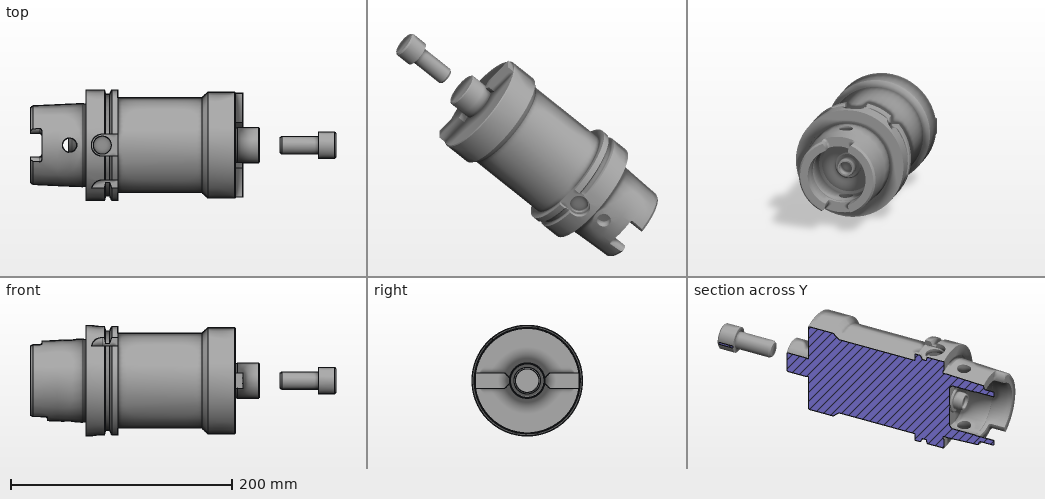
import cadquery as cq
taper_length = 47.2
taper_mouth_diameter = 71.2
taper_gauge_diameter = 75.3
mouth_chamfer = 2.2
mouth_chamfer_diameter = 68.0

neck_diameter = 74.8
neck_step_length = 1.0
relief_diameter = 79.8
relief_depth = 0.5

flange_start = 50.0
flange_diameter = 100.0
flange_end = 79.0
groove_floor_diameter = 92.2
groove_edge_start = 66.8
groove_floor_start = 68.0
groove_floor_end = 71.5
groove_edge_end = 73.5

body_diameter = 85.8
body_end = 154.8
collar_diameter = 96.0
collar_start = 160.4
collar_end = 185.2
collar_chamfer = 0.8
pilot_diameter = 32.0
pilot_neck_diameter = 31.5
pilot_neck_length = 1.7
pilot_end = 206.7
pilot_chamfer = 0.8

mouth_bore_diameter = 53.8
mouth_bore_depth = 19.0
cavity_diameter = 53.0
cavity_depth = 44.2
cavity_floor_chamfer = 2.2
tube_diameter = 16.0
tube_tip = 34.2
tube_tip_diameter = 14.5
tube_tip_length = 3.3
tube_bore_diameter = 12.0
tube_nut_diameter = 24.0
tube_nut_height = 1.7
tube_nut_chamfer = 1.0

cross_hole_x = 35.3
cross_hole_diameter = 12.7

slot_width = 21.0
slot_depth_top = 10.2
slot_depth_bottom = 15.2
slot_floor_fillet = 2.0
slot_flare_radius = 8.0
slot_flare_start = 25.5

keyway_width = 20.0
keyway_floor = 44.0
keyway_end_center = 64.9
keyway_hole_diameter = 16.3
keyway_hole_depth = 4.0
notch_corner = 31.5

key_width = 14.0
key_end = 191.8
key_inner = 20.5
key_outer = 47.0

screw_tip = 225.2
screw_shank_diameter = 16.0
screw_tip_diameter = 13.2
screw_tip_chamfer = 2.0
head_start = 260.0
head_diameter = 24.0
screw_end = 276.0
head_chamfer = 1.5


def revolve_about_x(points):
    """Turn a closed (x, radius) outline about the X axis."""
    return cq.Workplane("XY").polyline(points).close().revolve(360, (0, 0, 0), (1, 0, 0))


def x_cylinder(diameter, start, end):
    return cq.Workplane("YZ", origin=(start, 0, 0)).circle(diameter / 2).extrude(end - start)


def holder_blank():
    return revolve_about_x([
        (0, 0),
        (0, mouth_chamfer_diameter / 2),
        (mouth_chamfer, taper_mouth_diameter / 2),
        (taper_length, taper_gauge_diameter / 2),
        (taper_length + neck_step_length, neck_diameter / 2),
        (flange_start + relief_depth, neck_diameter / 2),
        (flange_start + relief_depth, relief_diameter / 2),
        (flange_start, relief_diameter / 2),
        (flange_start, flange_diameter / 2),
        (groove_edge_start, flange_diameter / 2),
        (groove_floor_start, groove_floor_diameter / 2),
        (groove_floor_end, groove_floor_diameter / 2),
        (groove_edge_end, flange_diameter / 2),
        (flange_end, flange_diameter / 2),
        (flange_end, body_diameter / 2),
        (body_end, body_diameter / 2),
        (collar_start, collar_diameter / 2),
        (collar_end - collar_chamfer, collar_diameter / 2),
        (collar_end, collar_diameter / 2 - collar_chamfer),
        (collar_end, pilot_neck_diameter / 2),
        (collar_end + pilot_neck_length, pilot_neck_diameter / 2),
        (collar_end + pilot_neck_length, pilot_diameter / 2),
        (pilot_end - pilot_chamfer, pilot_diameter / 2),
        (pilot_end, pilot_diameter / 2 - pilot_chamfer),
        (pilot_end, 0),
    ])


def coolant_tube():
    """Hollow tube with a tapered tip and a bevelled round nut at its foot."""
    nut_start = cavity_depth - tube_nut_height
    return revolve_about_x([
        (tube_tip, tube_bore_diameter / 2),
        (tube_tip, tube_tip_diameter / 2),
        (tube_tip + tube_tip_length, tube_diameter / 2),
        (nut_start, tube_diameter / 2),
        (nut_start, tube_nut_diameter / 2 - tube_nut_chamfer),
        (nut_start + tube_nut_chamfer, tube_nut_diameter / 2),
        (cavity_depth, tube_nut_diameter / 2),
        (cavity_depth, tube_bore_diameter / 2),
    ])


def shank_cavity():
    """Stepped bore from the mouth, leaving the coolant tube standing on its floor."""
    bore = x_cylinder(cavity_diameter, 0, cavity_depth).faces(">X").chamfer(cavity_floor_chamfer)
    mouth_bore = x_cylinder(mouth_bore_diameter, 0, mouth_bore_depth)
    return bore.union(mouth_bore).cut(coolant_tube())


def mouth_slot(depth):
    """Slot in the +Z wall, flaring outwards along arcs near its outer end."""
    half = slot_width / 2
    flare = slot_flare_radius
    top = slot_flare_start + flare
    width = taper_gauge_diameter
    slot = (
        cq.Workplane("YZ")
        .moveTo(-half, 0)
        .lineTo(-half, slot_flare_start)
        .radiusArc((-half - flare, top), -flare)
        .lineTo(-width / 2, top)
        .lineTo(-width / 2, taper_gauge_diameter)
        .lineTo(width / 2, taper_gauge_diameter)
        .lineTo(width / 2, top)
        .lineTo(half + flare, top)
        .radiusArc((half, slot_flare_start), -flare)
        .lineTo(half, 0)
        .close()
        .extrude(depth)
    )
    return slot.faces(">X").edges("not (<Z or >Z or <Y or >Y)").fillet(slot_floor_fillet)


def keyway():
    """Round-ended slot in the +Z side of the flange with a shallow hole in its floor."""
    height = flange_diameter / 2
    length = flange_end - keyway_end_center
    floor = cq.Workplane("XY", origin=(keyway_end_center, 0, keyway_floor))
    slot = floor.circle(keyway_width / 2).extrude(height)
    slot = slot.union(floor.center(length / 2, 0).rect(length, keyway_width).extrude(height))
    hole = floor.circle(keyway_hole_diameter / 2).extrude(-keyway_hole_depth)
    return slot.union(hole)


def corner_notch():
    """Square notch on the -Y, +Z corner of the flange, its end rounded by a vertical cutter."""
    radius = keyway_width / 2
    size = keyway_width
    length = flange_end - keyway_end_center
    floor = cq.Workplane("XY", origin=(keyway_end_center, -notch_corner - radius, notch_corner))
    notch = floor.circle(radius).extrude(size)
    return notch.union(floor.center(length / 2, 0).rect(length, size).extrude(size))


def driving_key():
    """Key on the +Y side of the collar face with a bevelled inner end."""
    half = key_width / 2
    return (
        cq.Workplane("YZ", origin=(collar_end, 0, 0))
        .moveTo(key_inner, half)
        .lineTo(key_outer, half)
        .lineTo(key_outer, -half)
        .lineTo(key_inner, -half)
        .lineTo(key_inner - half, 0)
        .close()
        .extrude(key_end - collar_end)
    )


def cross_hole():
    """Radial hole through the +Z wall of the shank, starting inside the cavity."""
    return (
        cq.Workplane("XY", origin=(cross_hole_x, 0, cavity_diameter / 4))
        .circle(cross_hole_diameter / 2)
        .extrude(taper_gauge_diameter)
    )


def turned_over(shape):
    """Half a turn about the X axis."""
    return shape.rotate((0, 0, 0), (1, 0, 0), 180)


def make_holder():
    holder = holder_blank().cut(shank_cavity())
    holder = holder.cut(mouth_slot(slot_depth_top)).cut(turned_over(mouth_slot(slot_depth_bottom)))
    for half_turn in (False, True):
        place = turned_over if half_turn else (lambda shape: shape)
        holder = holder.cut(place(cross_hole())).cut(place(keyway())).union(place(driving_key()))
    return holder.cut(corner_notch())


def make_screw():
    return revolve_about_x([
        (screw_tip, 0),
        (screw_tip, screw_tip_diameter / 2),
        (screw_tip + screw_tip_chamfer, screw_shank_diameter / 2),
        (head_start, screw_shank_diameter / 2),
        (head_start, head_diameter / 2),
        (screw_end - head_chamfer, head_diameter / 2),
        (screw_end, head_diameter / 2 - head_chamfer),
        (screw_end, 0),
    ])


holder = make_holder()
screw = make_screw()
result = cq.Compound.makeCompound([holder.val(), screw.val()])